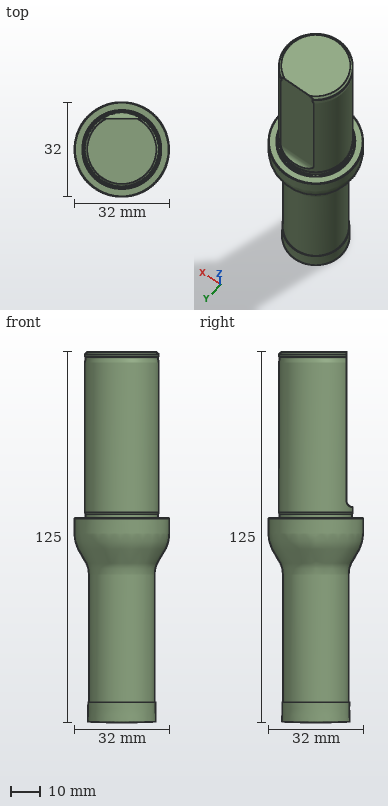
import cadquery as cq

total_height = 125.0
shank_radius = 25.0 / 2
groove_radius = 24.5 / 2
collar_radius = 32.0 / 2
neck_radius = 22.2 / 2

tip_top = 7.0
bowl_bottom = 50.0
bowl_top = 63.9
collar_top = 69.1
collar_chamfer = 0.2

undercut_rim_radius = 13.4
undercut_floor_radius = 12.9
undercut_floor = 68.8
relief_cone_bottom = 70.2
relief_top = 71.0

top_groove_lower_end = 121.5
top_groove_floor_bottom = 122.6
top_groove_floor_top = 123.2
top_groove_upper_end = 123.6
end_chamfer_width = 0.9
end_chamfer_height = 0.8

flat_offset = 10.4
flat_bottom = 72.8
flat_end_radius = shank_radius - flat_offset

tip_upper_radius = 11.4
tip_lower_radius = 11.5
tip_edge_height = 0.4
tip_edge_radius = 0.4

bowl_waist_radius = 13.2
bowl_waist_height = 56.0


def revolve_about_z(profile):
    return profile.close().revolve(360, (0, 0, 0), (0, 1, 0))


def make_flat_cutter():
    """Block that cuts the flat, with a rounded run-out at its lower end."""
    length = 3 * shank_radius
    return (
        cq.Workplane("YZ", origin=(-length / 2, 0, 0))
        .moveTo(flat_offset, total_height)
        .lineTo(flat_offset, flat_bottom + flat_end_radius)
        .radiusArc((shank_radius, flat_bottom), -flat_end_radius)
        .lineTo(collar_radius, flat_bottom)
        .lineTo(collar_radius, total_height)
        .close()
        .extrude(length)
    )


def make_holder():
    """Neck, bowl-shaped collar and grooved shank with its flat."""
    profile = (
        cq.Workplane("XZ")
        .moveTo(0, tip_top)
        .lineTo(neck_radius, tip_top)
        .lineTo(neck_radius, bowl_bottom)
        .spline(
            [(bowl_waist_radius, bowl_waist_height), (collar_radius, bowl_top)],
            tangents=[(0, 1), (0, 1)],
            includeCurrent=True,
        )
        .lineTo(collar_radius, collar_top - collar_chamfer)
        .lineTo(collar_radius - collar_chamfer, collar_top)
        .lineTo(undercut_rim_radius, collar_top)
        .lineTo(undercut_floor_radius, undercut_floor)
        .lineTo(groove_radius, undercut_floor)
        .lineTo(groove_radius, relief_cone_bottom)
        .lineTo(shank_radius, relief_top)
        .lineTo(shank_radius, top_groove_lower_end)
        .lineTo(groove_radius, top_groove_floor_bottom)
        .lineTo(groove_radius, top_groove_floor_top)
        .lineTo(shank_radius, top_groove_upper_end)
        .lineTo(shank_radius, total_height - end_chamfer_height)
        .lineTo(shank_radius - end_chamfer_width, total_height)
        .lineTo(0, total_height)
    )
    return revolve_about_z(profile).cut(make_flat_cutter())


def make_tip():
    """Slightly tapered tip with a rounded lower rim and a shallow conical end."""
    profile = (
        cq.Workplane("XZ")
        .lineTo(tip_lower_radius, tip_edge_height)
        .lineTo(tip_upper_radius, tip_top)
        .lineTo(0, tip_top)
    )
    return revolve_about_z(profile).faces("<Z").edges().fillet(tip_edge_radius)


holder = make_holder()
tip = make_tip()

result = cq.Compound.makeCompound([holder.val(), tip.val()])